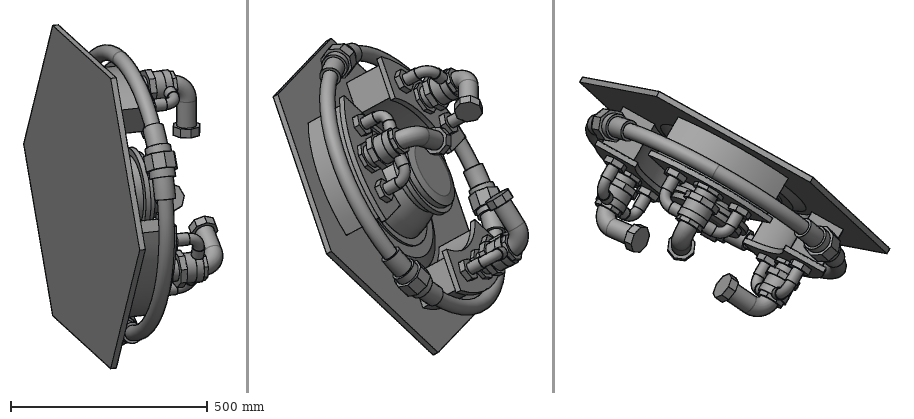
import cadquery as cq
import math

AXIS_START = (0, 0, 0)
AXIS_END = (0, 1, 0)
AXIS = cq.Vector(0, 1, 0)
STATION_COUNT = 3
STATION_PITCH = 360 / STATION_COUNT
NUT_SIDES = 8

plate_width = 900.0
plate_sides = 6
plate_thickness = 15.0

tank_outer_radius = 322.0
tank_inner_radius = 229.5
tank_half_angle = 30
lid_bottom = 125.0
lid_thickness = 14.0
lid_overhang = 13.0
lid_top = lid_bottom + lid_thickness

fitting_pitch_radius = 274.5
branch_angle = 20

stack_foot_top = 150.0
stack_foot_radius = 42.0
stack_neck_radius = 31.0
stack_nut_bottom = 170.0
stack_nut_top = 187.0
stack_nut_radius = 48.0
stack_barrel_radius = 39.0
stack_collar_bottom = 215.0
stack_collar_top = 235.0
stack_collar_radius = 40.0
stack_cap_top = 247.0
stack_cap_radius = 37.0

outlet_radius = 25.0
outlet_height = 283.0
outlet_bend = 43.0
outlet_cap_start = 162.0
outlet_cap_end = 139.0
outlet_cap_radius = 36.0

branch_height = 225.0
branch_bend = 32.0
branch_radius = 14.0
branch_sleeve_radius = 16.0
branch_nut_top = 156.0
branch_nut_radius = 31.0
branch_nut_sides = 6
branch_nut_turn = 15

dish_foot_radius = 213.0
dish_rim_radius = 184.0
dish_height = 31.0
step_radius = 151.0
step_height = 36.0
dome_foot_radius = 131.0
dome_waist_radius = 116.0
dome_waist_height = 77.0
dome_neck_radius = 94.5
dome_neck_height = 113.0
flange_bottom = 134.0
flange_top = 148.0
flange_radius = 112.5
cover_top = 163.0
cover_radius = 100.0
cover_crown_radius = 76.0
cover_crown_top = 169.0

ring_radius = 359.0
ring_height = 104.0
ring_tube_radius = 20.0
sleeve_radius = 27.0
sleeve_half_angle = 15
collar_radius = 33.0
collar_half_angle = 6.3
coupling_nut_radius = 42.0
coupling_nut_length = 41.0
first_coupling_turn = 90


def flat_plane(height, x_dir=(1, 0, 0)):
    """Plane across the main axis at a height along it, facing +Y."""
    return cq.Plane(origin=(0, height, 0), xDir=x_dir, normal=(0, 1, 0))


def cylinder(start, end, radius):
    """Round bar between two points."""
    span = end - start
    return cq.Workplane(cq.Solid.makeCylinder(radius, span.Length, start, span))


def prism(start, end, radius, corner_direction, sides=NUT_SIDES):
    """Regular prism between two points, with one corner in the given direction."""
    span = end - start
    plane = cq.Plane(origin=start, xDir=corner_direction, normal=span)
    return cq.Workplane(plane).polygon(sides, 2 * radius).extrude(span.Length)


def bend(start, start_direction, end, radius):
    """Quarter bend of round pipe that leaves the start point in the given direction."""
    path = cq.Edge.makeTangentArc(start, start_direction, end)
    return cq.Workplane(cq.Plane(origin=start, normal=start_direction)).circle(radius).sweep(path)


def turned(shape, angle):
    """The shape turned about the main axis."""
    return shape.rotate(AXIS_START, AXIS_END, angle)


def fitting_point(angle, height):
    """Point on the fitting pitch circle, at an angle from +Z towards +X."""
    turn = math.radians(angle)
    return cq.Vector(fitting_pitch_radius * math.sin(turn), height, fitting_pitch_radius * math.cos(turn))


def sector(bottom, height, inner_radius, outer_radius, side_offset):
    """Ring sector centred on +Z, with its end faces moved outwards from the radial lines."""
    half_angle = math.radians(tank_half_angle)

    def corner(radius):
        turn = half_angle + math.asin(side_offset / radius)
        return radius * math.sin(turn), radius * math.cos(turn)

    outer_x, outer_z = corner(outer_radius)
    inner_x, inner_z = corner(inner_radius)
    return (
        cq.Workplane(flat_plane(bottom, x_dir=(-1, 0, 0)))
        .moveTo(-outer_x, outer_z)
        .threePointArc((0, outer_radius), (outer_x, outer_z))
        .lineTo(inner_x, inner_z)
        .threePointArc((0, inner_radius), (-inner_x, inner_z))
        .close()
        .extrude(height)
    )


def make_tank():
    tank = sector(plate_thickness, lid_bottom - plate_thickness, tank_inner_radius, tank_outer_radius, 0)
    lid = sector(
        lid_bottom,
        lid_thickness,
        tank_inner_radius - lid_overhang,
        tank_outer_radius + lid_overhang,
        lid_overhang,
    )
    return tank.union(lid)


def make_stack():
    def level(height):
        return fitting_point(0, height)

    across = cq.Vector(1, 0, 0)
    foot = prism(level(lid_top), level(stack_foot_top), stack_foot_radius, across)
    neck = cylinder(level(stack_foot_top), level(stack_nut_bottom), stack_neck_radius)
    nut = prism(level(stack_nut_bottom), level(stack_nut_top), stack_nut_radius, across)
    barrel = cylinder(level(stack_nut_top), level(stack_collar_bottom), stack_barrel_radius)
    collar = cylinder(level(stack_collar_bottom), level(stack_collar_top), stack_collar_radius)
    cap = prism(level(stack_collar_top), level(stack_cap_top), stack_cap_radius, across)
    return foot.union(neck).union(nut).union(barrel).union(collar).union(cap)


def make_outlet():
    bend_start = fitting_point(0, outlet_height - outlet_bend)
    bend_end = cq.Vector(0, outlet_height, fitting_pitch_radius - outlet_bend)
    cap_start = cq.Vector(0, outlet_height, outlet_cap_start)
    cap_end = cq.Vector(0, outlet_height, outlet_cap_end)
    elbow = bend(bend_start, AXIS, bend_end, outlet_radius)
    pipe = cylinder(bend_end, cap_start, outlet_radius)
    cap = prism(cap_start, cap_end, outlet_cap_radius, AXIS)
    return elbow.union(pipe).union(cap)


def make_branch(side):
    """Branch on the +X side (side = 1) or the -X side (side = -1) of the stack."""
    foot = fitting_point(side * branch_angle, lid_top)
    nut_end = fitting_point(side * branch_angle, branch_nut_top)
    bend_start = fitting_point(side * branch_angle, branch_height - branch_bend)
    corner = fitting_point(side * branch_angle, branch_height)
    stack_centre = fitting_point(0, branch_height)
    bend_end = corner + (stack_centre - corner).normalized() * branch_bend

    turn = math.radians(branch_nut_turn)
    nut_corner = cq.Vector(-side * math.cos(turn), 0, math.sin(turn))
    nut = prism(foot, nut_end, branch_nut_radius, nut_corner, branch_nut_sides)
    riser = cylinder(nut_end, bend_start, branch_sleeve_radius)
    elbow = bend(bend_start, AXIS, bend_end, branch_radius)
    arm = cylinder(bend_end, stack_centre, branch_sleeve_radius)
    return nut.union(riser).union(elbow).union(arm)


def make_station():
    """One tank with all its fittings, centred on +Z."""
    station = make_tank().union(make_stack()).union(make_outlet())
    for side in (-1, 1):
        station = station.union(make_branch(side))
    return station


def make_vessel():
    """Dish, dome, flange and cover in the middle of the plate, turned about the main axis."""
    return (
        cq.Workplane("XY")
        .moveTo(0, plate_thickness)
        .lineTo(dish_foot_radius, plate_thickness)
        .lineTo(dish_rim_radius, dish_height)
        .lineTo(step_radius, dish_height)
        .lineTo(step_radius, step_height)
        .lineTo(dome_foot_radius, step_height)
        .threePointArc((dome_waist_radius, dome_waist_height), (dome_neck_radius, dome_neck_height))
        .lineTo(dome_neck_radius, flange_bottom)
        .lineTo(flange_radius, flange_bottom)
        .lineTo(flange_radius, flange_top)
        .lineTo(cover_radius, flange_top)
        .lineTo(cover_radius, cover_top)
        .lineTo(cover_crown_radius, cover_crown_top)
        .lineTo(0, cover_crown_top)
        .close()
        .revolve(360, AXIS_START, AXIS_END)
    )


def make_base():
    """Plate, central vessel and the three tank stations."""
    base = cq.Workplane(flat_plane(0)).polygon(plate_sides, plate_width).extrude(plate_thickness)
    base = base.union(make_vessel())
    station = make_station()
    for index in range(STATION_COUNT):
        base = base.union(turned(station, index * STATION_PITCH))
    return base


def ring_section(radius, half_angle):
    """Piece of thick tube along the ring main, centred on +X."""
    piece = (
        cq.Workplane("XY")
        .moveTo(ring_radius, ring_height)
        .circle(radius)
        .revolve(2 * half_angle, AXIS_START, AXIS_END)
    )
    return turned(piece, -half_angle)


def make_coupling():
    nut_start = cq.Vector(ring_radius, ring_height, -coupling_nut_length / 2)
    nut_end = cq.Vector(ring_radius, ring_height, coupling_nut_length / 2)
    nut = prism(nut_start, nut_end, coupling_nut_radius, AXIS)
    collar = ring_section(collar_radius, collar_half_angle)
    sleeve = ring_section(sleeve_radius, sleeve_half_angle)
    return nut.union(collar).union(sleeve)


def make_ring_main():
    ring_centre = cq.Vector(0, ring_height, 0)
    ring = cq.Workplane(cq.Solid.makeTorus(ring_radius, ring_tube_radius, ring_centre, AXIS))
    coupling = make_coupling()
    for index in range(STATION_COUNT):
        ring = ring.union(turned(coupling, first_coupling_turn + index * STATION_PITCH))
    return ring


base = make_base()
ring_main = make_ring_main()

result = cq.Compound.makeCompound([*base.vals(), *ring_main.vals()])